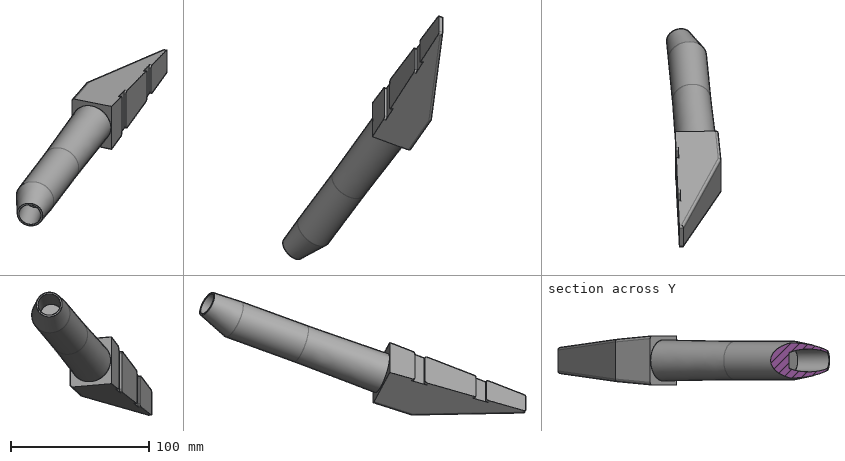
import cadquery as cq
import math


HEAD_LENGTH = 107.0
HEAD_END_WIDTH = 31.0
HEEL_X = 76.1
HEEL_DEPTH = 32.3
POINT_WIDTH = 3.0
POINT_THICKNESS = 18.9
HEAD_THICKNESS = 35.5
EDGE_RADIUS = 2.0
SEARCH_MARGIN = 0.2

NOTCH_STARTS = (31.0, 79.3)
NOTCH_LENGTH = 8.0
NOTCH_DEPTH = 1.8

HANDLE_AXIS_DEPTH = 15.5
NECK_START_DIAMETER = 29.9
GRIP_DIAMETER = 28.0
NECK_LENGTH = 64.5
GRIP_LENGTH = 52.0
TIP_LENGTH = 25.0
NECK_OVERLAP = 2.0
BORE_DIAMETER = 16.1

HEAD_ANGLE = -38.1
HANDLE_ANGLE = -36.4
TIP_BEND = 11.0
TIP_ANGLE = HANDLE_ANGLE + TIP_BEND


def direction(angle):
    """Unit vector of a final direction, seen in the building position."""
    turn = math.radians(angle - HEAD_ANGLE)
    return cq.Vector(math.cos(turn), math.sin(turn), 0)


def make_head():
    outline = (
        cq.Workplane("XY", origin=(0, 0, -HEAD_THICKNESS / 2))
        .moveTo(0, 0)
        .lineTo(0, -POINT_WIDTH)
        .lineTo(HEEL_X, -HEEL_DEPTH)
        .lineTo(HEAD_LENGTH, -HEAD_END_WIDTH)
        .lineTo(HEAD_LENGTH, 0)
        .close()
        .extrude(HEAD_THICKNESS)
    )
    taper = (
        cq.Workplane("XZ")
        .moveTo(0, POINT_THICKNESS / 2)
        .lineTo(HEAD_LENGTH, HEAD_THICKNESS / 2)
        .lineTo(HEAD_LENGTH, -HEAD_THICKNESS / 2)
        .lineTo(0, -POINT_THICKNESS / 2)
        .close()
        .extrude(HEEL_DEPTH)
    )
    return outline.intersect(taper)


def broad_face_edges(head, x_range, y_range):
    """Edges of the two broad faces whose midpoints lie in the given ranges."""
    def wanted(edge):
        middle = edge.positionAt(0.5)
        on_broad_face = abs(middle.z) > POINT_THICKNESS / 4
        in_x = x_range[0] < middle.x < x_range[1]
        in_y = y_range[0] < middle.y < y_range[1]
        return on_broad_face and in_x and in_y

    return head.newObject([edge for edge in head.edges().vals() if wanted(edge)])


def round_head(head):
    """Round the broad-face edges along the point, the blade side and the heel."""
    x_range = (-SEARCH_MARGIN, HEAD_LENGTH - SEARCH_MARGIN)
    y_range = (-HEEL_DEPTH, -SEARCH_MARGIN)
    return broad_face_edges(head, x_range, y_range).fillet(EDGE_RADIUS)


def cut_notch(head, start):
    """Cut one notch and round its end walls into the broad faces."""
    notch = cq.Workplane("XY").box(NOTCH_LENGTH, 2 * NOTCH_DEPTH, 2 * HEAD_THICKNESS)
    head = head.cut(notch.translate((start + NOTCH_LENGTH / 2, 0, 0)))
    for wall_x in (start, start + NOTCH_LENGTH):
        x_range = (wall_x - SEARCH_MARGIN, wall_x + SEARCH_MARGIN)
        wall_edges = broad_face_edges(head, x_range, (-NOTCH_DEPTH, 0))
        head = wall_edges.fillet(EDGE_RADIUS)
    return head


def make_handle():
    along_handle = direction(HANDLE_ANGLE)
    along_tip = direction(TIP_ANGLE)
    handle_start = cq.Vector(HEAD_LENGTH, -HANDLE_AXIS_DEPTH, 0)
    neck_start = handle_start - along_handle * NECK_OVERLAP
    neck_end = handle_start + along_handle * NECK_LENGTH
    elbow = neck_end + along_handle * GRIP_LENGTH

    grip_radius = GRIP_DIAMETER / 2
    neck = cq.Solid.makeCone(
        NECK_START_DIAMETER / 2, grip_radius, NECK_OVERLAP + NECK_LENGTH, neck_start, along_handle
    )
    long_grip = cq.Solid.makeCylinder(grip_radius, GRIP_LENGTH + GRIP_DIAMETER, neck_end, along_handle)

    bend = math.radians(TIP_BEND)
    elbow_radius = grip_radius / math.cos(bend)
    run_back = grip_radius
    long_tip = cq.Solid.makeCone(
        elbow_radius + run_back * math.tan(bend),
        elbow_radius - TIP_LENGTH * math.tan(bend),
        run_back + TIP_LENGTH,
        elbow - along_tip * run_back,
        along_tip,
    )
    joint_centre = elbow + along_handle * (grip_radius * math.tan(bend) / 2)
    joint_normal = direction(HANDLE_ANGLE + math.degrees(math.atan(math.tan(bend) / 2)))
    beyond_joint = cq.Solid.makeCylinder(2 * GRIP_DIAMETER, 2 * GRIP_DIAMETER, joint_centre, joint_normal)

    bore = cq.Solid.makeCylinder(BORE_DIAMETER / 2, TIP_LENGTH, elbow, along_tip)
    grip = cq.Workplane(long_grip).cut(cq.Workplane(beyond_joint))
    tip = cq.Workplane(long_tip).intersect(cq.Workplane(beyond_joint))
    return cq.Workplane(neck).union(grip).union(tip).cut(cq.Workplane(bore))


head = round_head(make_head())
for notch_start in NOTCH_STARTS:
    head = cut_notch(head, notch_start)

tool = head.union(make_handle())
result = tool.rotate((0, 0, 0), (0, 0, 1), HEAD_ANGLE)